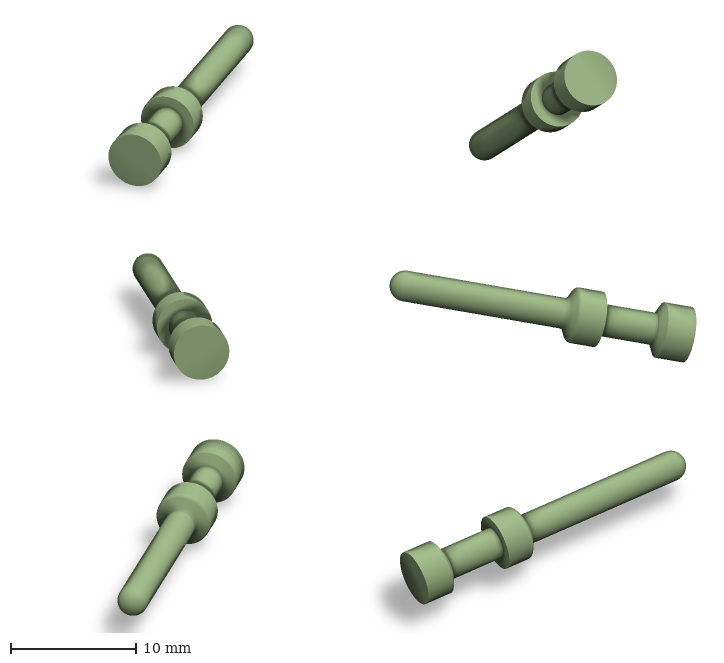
import cadquery as cq
import math

length = 25.0
body_radius = 4.5 / 2
waist_radius = 2.6 / 2
pin_radius = 2.48 / 2

head_cylinder_end = 2.35
collar_start = 7.5
collar_cone_start = 9.72
shoulder_angle = 30.0
shoulder_fillet = 0.4

slope = math.tan(math.radians(shoulder_angle))
head_cone_end = head_cylinder_end + (body_radius - waist_radius) * slope
collar_cone_end = collar_cone_start + (body_radius - pin_radius) * slope
tip_start = length - pin_radius
tip_arc_offset = pin_radius * math.sqrt(0.5)

profile = (
    cq.Workplane("XY")
    .moveTo(0, 0)
    .lineTo(body_radius, 0)
    .lineTo(body_radius, head_cylinder_end)
    .lineTo(waist_radius, head_cone_end)
    .lineTo(waist_radius, collar_start)
    .lineTo(body_radius, collar_start)
    .lineTo(body_radius, collar_cone_start)
    .lineTo(pin_radius, collar_cone_end)
    .lineTo(pin_radius, tip_start)
    .threePointArc((tip_arc_offset, tip_start + tip_arc_offset), (0, length))
    .close()
)
pin = profile.revolve(360, (0, 0, 0), (0, 1, 0))

margin = 0.12
cone_edges = cq.selectors.BoxSelector(
    (-body_radius - margin, collar_cone_start - margin, -body_radius - margin),
    (body_radius + margin, collar_cone_end + margin, body_radius + margin),
    boundingbox=True,
)
result = pin.edges(cone_edges).edges("%CIRCLE").fillet(shoulder_fillet)